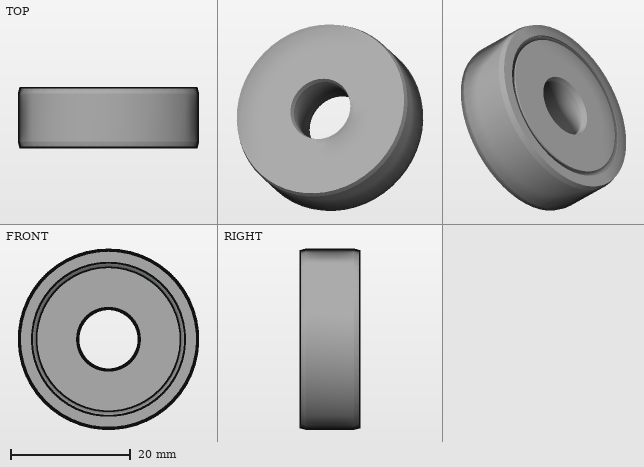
import cadquery as cq
import math

outer_radius = 15.0
width = 10.0
bore_radius = 5.0
front = -width / 2
back = width / 2

bevel_length = 1.0
bevel_depth = bevel_length * math.tan(math.radians(15))

recess_radius = 12.8
recess_depth = 0.27
countersink_radius = 12.75
countersink_slope = 30.0
seat_radius = 11.3
countersink_rise = (countersink_radius - seat_radius) * math.tan(math.radians(countersink_slope))

flange_radius = 12.0
flange_thickness = recess_depth


def revolve_about_y(points):
    """Turn a closed (Y, radius) outline into a solid of revolution about the Y axis."""
    return cq.Workplane("YZ").polyline(points).close().revolve(360, (0, 0, 0), (1, 0, 0))


def make_ring():
    """Outer ring with bevelled rim edges and a countersunk recess in its front face."""
    face_radius = outer_radius - bevel_depth
    recess_floor = front + recess_depth
    return revolve_about_y(
        [
            (front, recess_radius),
            (front, face_radius),
            (front + bevel_length, outer_radius),
            (back - bevel_length, outer_radius),
            (back, face_radius),
            (back, seat_radius),
            (recess_floor + countersink_rise, seat_radius),
            (recess_floor, countersink_radius),
            (recess_floor, recess_radius),
        ]
    )


def make_hub():
    """Hub with bevelled bore ends, seated in the ring, and a thin flange over the countersink."""
    bore_mouth_radius = bore_radius + bevel_depth
    flange_back = front + flange_thickness
    return revolve_about_y(
        [
            (front, bore_mouth_radius),
            (front, flange_radius),
            (flange_back, flange_radius),
            (flange_back, seat_radius),
            (back, seat_radius),
            (back, bore_mouth_radius),
            (back - bevel_length, bore_radius),
            (front + bevel_length, bore_radius),
        ]
    )


ring = make_ring()
hub = make_hub()
result = cq.Compound.makeCompound([ring.val(), hub.val()])